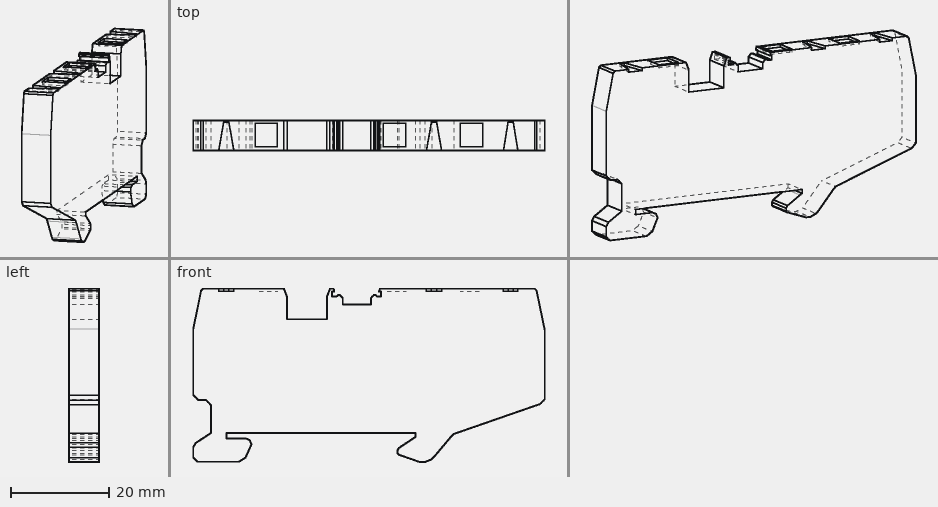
import cadquery as cq

length = 71.7
thickness = 6.2
top = 35.4
rail_face = 5.95
left_shoulder_z = 27.25
right_shoulder_z = 27.0
lean_left = 1.6
lean_right = 1.65
top_chamfer = 0.4
side_chamfer = 1.0
left_side_bottom = 12.7
neck_x = 3.6
right_side_bottom = 11.8
skirt_end = (53.1, 5.75)

slot_left = 6.8
slot_right = 45.3
fixed_foot_base = 0.1
fixed_foot_top = 4.9
fixed_foot_chamfer = 0.85
fixed_foot_back = ((0.5, 3.95), (0, 3.1))
fixed_foot_toe = ((9.3, fixed_foot_base), (10.7, 0.9), (11.9, 3.65), (11.55, 4.5), (10.75, fixed_foot_top))
spring_foot_jaw = ((slot_right, 5.15), (44.9, 4.9), (41.95, 2.95))
spring_foot_tip = ((41.65, 2.45), (41.65, 1.8), (41.95, 1.5))
spring_foot_heel = ((46.25, 0), (47.25, 0), (48.6, 0.6), (49.2, 1.15))
spring_foot_ankle = (52.55, 5.15)

bridge_left = 19.15
bridge_right = 27.25
bridge_floor = 29.2
bridge_lead_in = 0.65
lead_in_bottom = 33.8
seat_left = 30.55
seat_right = 36.2
seat_floor = 32.2
seat_chamfer = 0.65
seat_ridge = 34.1
ridge_flat = 0.3
ridge_slope = 0.35
groove_floor = 33.85
groove_roof = 34.8
groove_left = 28.3
groove_right = 38.3
groove_lip = 0.4
lip_bevel = 0.2

recess_depth = 0.6
window_length = 4.5
window_width = 4.8
window_front = 0.8
window_starts = (12.6, 38.8, 54.5)
wedge_reach = 5.75
wedge_back_width = 1.1
wedges = ((6.75, 3.1), (49.1, 3.1), (64.75, 2.95))


def plate(points):
    """Full-thickness plate with the given XZ outline."""
    return cq.Workplane("XZ").polyline(points).close().extrude(-thickness)


def housing():
    return plate([
        (0, left_side_bottom + side_chamfer),
        (0, left_shoulder_z),
        (lean_left, top - top_chamfer),
        (lean_left + top_chamfer, top),
        (length - lean_right - top_chamfer, top),
        (length - lean_right, top - top_chamfer),
        (length, right_shoulder_z),
        (length, right_side_bottom + side_chamfer),
        (length - side_chamfer, right_side_bottom),
        skirt_end,
        (skirt_end[0], rail_face),
        (neck_x, rail_face),
        (neck_x, left_side_bottom - side_chamfer),
        (neck_x - side_chamfer, left_side_bottom),
        (side_chamfer, left_side_bottom),
    ])


def fixed_foot():
    return plate([
        (neck_x, rail_face),
        *fixed_foot_back,
        (0, fixed_foot_base + fixed_foot_chamfer),
        (fixed_foot_chamfer, fixed_foot_base),
        *fixed_foot_toe,
        (slot_left, fixed_foot_top),
        (slot_left, rail_face),
    ])


def spring_foot():
    return plate([
        (slot_right, rail_face),
        *spring_foot_jaw,
        *spring_foot_tip,
        *spring_foot_heel,
        spring_foot_ankle,
        skirt_end,
        (skirt_end[0], rail_face),
    ])


def bridge_slot():
    return plate([
        (bridge_left - bridge_lead_in, top),
        (bridge_left, lead_in_bottom),
        (bridge_left, bridge_floor),
        (bridge_right, bridge_floor),
        (bridge_right, lead_in_bottom),
        (bridge_right + bridge_lead_in, top),
    ])


def marker_seat():
    ridge_left = seat_left - seat_chamfer
    ridge_right = seat_right + seat_chamfer
    return plate([
        (groove_left + groove_lip - lip_bevel, top),
        (groove_left + groove_lip, top - lip_bevel),
        (groove_left + groove_lip, groove_roof),
        (groove_left, groove_roof),
        (groove_left, groove_floor),
        (ridge_left - ridge_flat - ridge_slope, groove_floor),
        (ridge_left - ridge_flat, seat_ridge),
        (ridge_left, seat_ridge),
        (seat_left, seat_ridge - seat_chamfer),
        (seat_left, seat_floor),
        (seat_right, seat_floor),
        (seat_right, seat_ridge - seat_chamfer),
        (ridge_right, seat_ridge),
        (ridge_right + ridge_flat, seat_ridge),
        (ridge_right + ridge_flat + ridge_slope, groove_floor),
        (groove_right, groove_floor),
        (groove_right, groove_roof),
        (groove_right - groove_lip, groove_roof),
        (groove_right - lip_bevel, top),
    ])


def window(start):
    """Rectangular recess in the top face."""
    return (
        cq.Workplane("XY", origin=(start, window_front, top - recess_depth))
        .box(window_length, window_width, recess_depth, centered=False)
    )


def wedge(centre, front_width):
    """Tapered recess in the top face, open at the front."""
    return (
        cq.Workplane("XY", origin=(centre, 0, top - recess_depth))
        .polyline([
            (-front_width / 2, 0),
            (front_width / 2, 0),
            (wedge_back_width / 2, wedge_reach),
            (-wedge_back_width / 2, wedge_reach),
        ])
        .close()
        .extrude(recess_depth)
    )


result = housing().union(fixed_foot()).union(spring_foot())
result = result.cut(bridge_slot()).cut(marker_seat())
for start in window_starts:
    result = result.cut(window(start))
for centre, front_width in wedges:
    result = result.cut(wedge(centre, front_width))
result = result.clean()